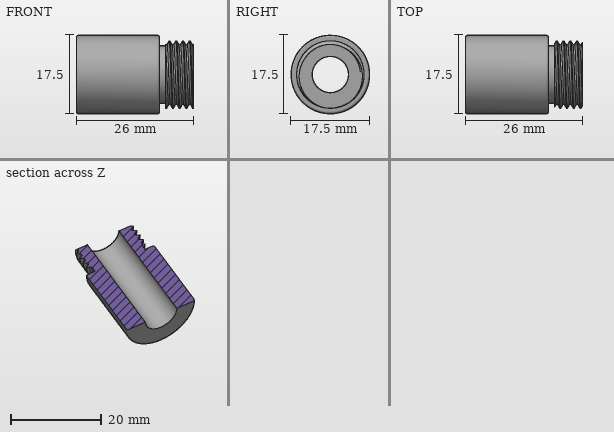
import cadquery as cq
import math

total_length = 26.0
bore_diameter = 8.0

body_diameter = 17.5
body_length = 18.5
body_edge_radius = 0.5

neck_diameter = 12.9

thread_diameter = 15.0
thread_pitch = 1.5
thread_length = 6.15
flank_half_angle = math.radians(30)
crest_width = thread_pitch / 8
root_width = thread_pitch / 4
groove_mouth_width = thread_pitch - crest_width
thread_depth = (groove_mouth_width - root_width) / 2 / math.tan(flank_half_angle)

thread_start = total_length - thread_length

groove_overrun = 0.1
lead_turns = 1


def x_cylinder(diameter, start, end):
    """Cylinder about the X axis between two X positions."""
    return cq.Workplane("YZ", origin=(start, 0, 0)).circle(diameter / 2).extrude(end - start)


def make_body():
    """Plain cylinder with rounded end edges."""
    return x_cylinder(body_diameter, 0, body_length).edges("%CIRCLE").fillet(body_edge_radius)


def make_groove_cutter():
    """Helical trapezoid about X, running past both ends of the thread."""
    crest_radius = thread_diameter / 2
    root_radius = crest_radius - thread_depth
    outer_radius = crest_radius + groove_overrun
    half_root = root_width / 2
    half_outer = groove_mouth_width / 2 + groove_overrun * math.tan(flank_half_angle)

    helix_height = (math.ceil(thread_length / thread_pitch) + 2 * lead_turns) * thread_pitch
    helix = cq.Wire.makeHelix(thread_pitch, helix_height, root_radius)
    profile = cq.Workplane("XZ").polyline([
        (root_radius, -half_root),
        (root_radius, half_root),
        (outer_radius, half_outer),
        (outer_radius, -half_outer),
    ]).close()
    cutter = profile.sweep(cq.Workplane(helix), isFrenet=True)

    first_groove = thread_start + crest_width + groove_mouth_width / 2
    cutter_start = first_groove - lead_turns * thread_pitch
    return cutter.rotate((0, 0, 0), (0, 1, 0), 90).translate((cutter_start, 0, 0))


def make_thread():
    """Threaded end, its groove cut off square at both end faces."""
    blank = x_cylinder(thread_diameter, thread_start, total_length)
    return blank.cut(make_groove_cutter())


neck = x_cylinder(neck_diameter, body_length, thread_start)
bore = x_cylinder(bore_diameter, 0, total_length)
result = make_body().union(neck).union(make_thread()).cut(bore)